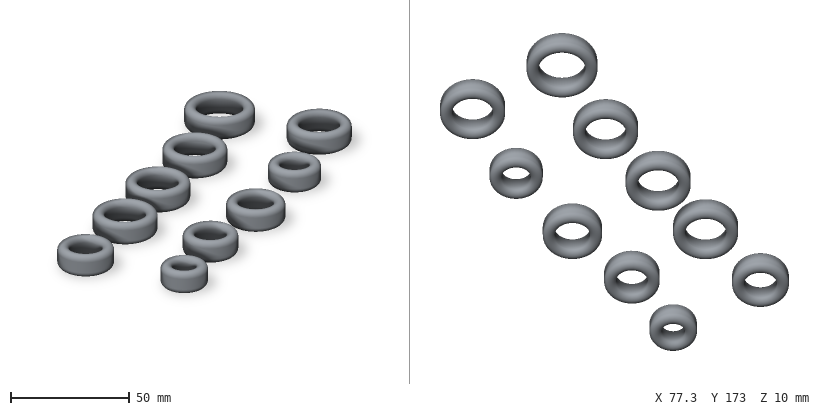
import cadquery as cq

LAYOUT_WIDTH = 77.3
LAYOUT_LENGTH = 173.0

RING_HEIGHT = 10.0
WALL = 5.0
ROUND_RADIUS = WALL / 2

BACK_LEFT_DIAMETER = 30.0
FRONT_LEFT_DIAMETER = 24.0
RIGHTMOST_DIAMETER = 22.5
FRONT_RIGHT_DIAMETER = 20.0

BACK_LEFT_Y = (LAYOUT_LENGTH - BACK_LEFT_DIAMETER) / 2
FRONT_LEFT_X = (FRONT_LEFT_DIAMETER - LAYOUT_WIDTH) / 2
RIGHTMOST_X = (LAYOUT_WIDTH - RIGHTMOST_DIAMETER) / 2
FRONT_RIGHT_Y = (FRONT_RIGHT_DIAMETER - LAYOUT_LENGTH) / 2

LEFT_COLUMN = [
    (BACK_LEFT_DIAMETER, -21.6, BACK_LEFT_Y),
    (27.5, -17.6, 31.7),
    (27.5, -20.6, -4.5),
    (27.5, -22.7, -38.0),
    (FRONT_LEFT_DIAMETER, FRONT_LEFT_X, -74.4),
]
RIGHT_COLUMN = [
    (27.5, 23.4, 71.6),
    (RIGHTMOST_DIAMETER, RIGHTMOST_X, 31.7),
    (25.0, 25.0, -8.3),
    (23.5, 18.0, -43.5),
    (FRONT_RIGHT_DIAMETER, 18.7, FRONT_RIGHT_Y),
]


def make_ring(outer_diameter, center_x, center_y):
    """Ring with straight walls and fully rounded top and bottom rims."""
    outer_radius = outer_diameter / 2
    bore_radius = outer_radius - WALL
    middle_radius = outer_radius - ROUND_RADIUS
    lower_tangent = ROUND_RADIUS
    upper_tangent = RING_HEIGHT - ROUND_RADIUS
    section = (
        cq.Workplane("XZ")
        .moveTo(outer_radius, lower_tangent)
        .lineTo(outer_radius, upper_tangent)
        .threePointArc((middle_radius, RING_HEIGHT), (bore_radius, upper_tangent))
        .lineTo(bore_radius, lower_tangent)
        .threePointArc((middle_radius, 0), (outer_radius, lower_tangent))
        .close()
    )
    ring = section.revolve(360, (0, 0, 0), (0, 1, 0))
    return ring.translate((center_x, center_y, 0))


rings = []
for diameter, x, y in LEFT_COLUMN + RIGHT_COLUMN:
    rings.append(make_ring(diameter, x, y).val())

result = cq.Compound.makeCompound(rings)